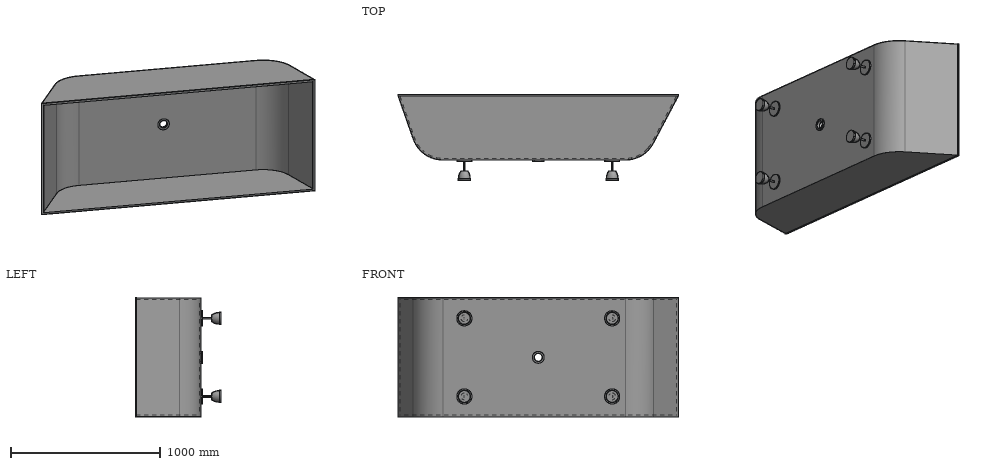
import cadquery as cq
import math


RIM_LENGTH = 1882.0
RIM_WIDTH = 800.0
TUB_DEPTH = 440.0
RIM_HEIGHT = 10.0
RIM_OVERHANG = 2.0
LEFT_FLOOR_CORNER = -789.0
RIGHT_FLOOR_CORNER = 711.0
FLOOR_BEND_RADIUS = 213.0
WALL = 11.0

FOOT_SPACING_X = 990.0
FOOT_SPACING_Z = 523.0
FOOT_HEIGHT = 135.0
PAD_RADIUS = 50.0
PAD_HEIGHT = 10.0
ROD_RADIUS = 5.0
CUP_START = 72.0
CUP_TOP_RADIUS = 23.0
CUP_BOTTOM_RADIUS = 40.0
CUP_BULGE = 4.7
BASE_RADIUS = 41.0
BASE_HEIGHT = 13.0

DRAIN_RADIUS = 40.0
DRAIN_BORE_RADIUS = 26.0
DRAIN_DROP = 10.0


def tub_prism(inset):
    """Solid with leaning end walls and a bent floor, moved inwards by the inset and centred on Z = 0."""
    half_length = RIM_LENGTH / 2 - RIM_OVERHANG
    top = TUB_DEPTH - RIM_HEIGHT
    left_lean = math.atan2(LEFT_FLOOR_CORNER + half_length, top)
    right_lean = math.atan2(half_length - RIGHT_FLOOR_CORNER, top)

    def left_wall_x(y):
        return LEFT_FLOOR_CORNER - y * math.tan(left_lean) + inset / math.cos(left_lean)

    def right_wall_x(y):
        return RIGHT_FLOOR_CORNER + y * math.tan(right_lean) - inset / math.cos(right_lean)

    width = RIM_WIDTH - 2 * (RIM_OVERHANG + inset)
    prism = (
        cq.Workplane("XY", origin=(0, 0, -width / 2))
        .moveTo(left_wall_x(inset), inset)
        .lineTo(right_wall_x(inset), inset)
        .lineTo(right_wall_x(top), top)
        .lineTo(left_wall_x(top), top)
        .close()
        .extrude(width)
    )
    return prism.edges("|Z and <Y").fillet(FLOOR_BEND_RADIUS - inset)


def make_shell():
    """Walls and floor of even thickness with a thin rim around the open side."""
    rim = cq.Workplane("XY").box(RIM_LENGTH, RIM_HEIGHT, RIM_WIDTH)
    rim = rim.translate((0, TUB_DEPTH - RIM_HEIGHT / 2, 0))
    cavity = tub_prism(WALL)
    cavity = cavity.faces(">Y").wires().toPending().workplane().extrude(RIM_HEIGHT)
    return tub_prism(0).union(rim).cut(cavity)


def make_foot(x, z):
    """Pad, rod, bowed cup and base disc turned about an axis along Y."""
    base_start = FOOT_HEIGHT - BASE_HEIGHT
    flank_middle = (
        (CUP_TOP_RADIUS + CUP_BOTTOM_RADIUS) / 2 + CUP_BULGE,
        -(CUP_START + base_start) / 2,
    )
    return (
        cq.Workplane("XY")
        .lineTo(PAD_RADIUS, 0)
        .lineTo(PAD_RADIUS, -PAD_HEIGHT)
        .lineTo(ROD_RADIUS, -PAD_HEIGHT)
        .lineTo(ROD_RADIUS, -CUP_START)
        .lineTo(CUP_TOP_RADIUS, -CUP_START)
        .threePointArc(flank_middle, (CUP_BOTTOM_RADIUS, -base_start))
        .lineTo(BASE_RADIUS, -base_start)
        .lineTo(BASE_RADIUS, -FOOT_HEIGHT)
        .lineTo(0, -FOOT_HEIGHT)
        .close()
        .revolve(360, (0, 0), (0, 1))
        .translate((x, 0, z))
    )


def y_cylinder(radius, start_y, end_y):
    """Cylinder on the Y axis between two heights."""
    return cq.Workplane("XZ", origin=(0, end_y, 0)).circle(radius).extrude(end_y - start_y)


def make_tub():
    """Open shell with four feet and a hole in the floor for the drain ring."""
    tub = make_shell()
    for x in (-FOOT_SPACING_X / 2, FOOT_SPACING_X / 2):
        for z in (-FOOT_SPACING_Z / 2, FOOT_SPACING_Z / 2):
            tub = tub.union(make_foot(x, z))
    return tub.cut(y_cylinder(DRAIN_RADIUS, 0, WALL))


def make_drain():
    """Plain ring filling the floor hole and standing slightly below it."""
    ring = y_cylinder(DRAIN_RADIUS, -DRAIN_DROP, WALL)
    return ring.cut(y_cylinder(DRAIN_BORE_RADIUS, -DRAIN_DROP, WALL))


tub = make_tub()
drain = make_drain()
result = cq.Compound.makeCompound([tub.val(), drain.val()])